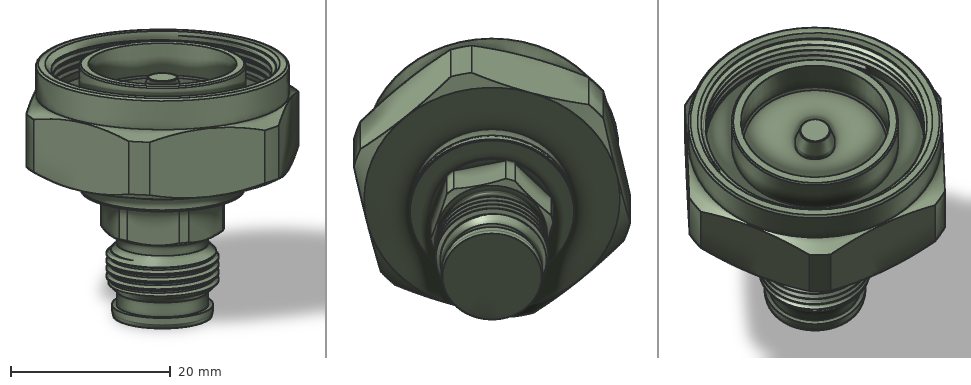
import cadquery as cq
import math


total_height = 32.7
nut_bottom = 19.7
nut_hex_top = 28.7

neck_radius = 5.75
collar_radius = 6.33
collar_height = 1.4
collar_taper_height = 0.58
collar_taper = 0.13
thread_radius = 7.05
thread_pitch = 1.0
thread_depth = 0.57
thread_bottom = 3.25
thread_top = 9.35
thread_root_flat = 0.25
thread_start = 2.9
neck_fillet = 0.45

small_hex_flats = 14.0
small_hex_corner_radius = 7.75
small_hex_bottom = 10.98
small_hex_top = 16.06
small_hex_chamfer_radius = 6.85

shoulder_bottom = 16.4
shoulder_edge = 0.24
shoulder_edge_inset = 0.07
shoulder_flare_top = 17.93
shoulder_flare_bottom_radius = 10.32
shoulder_flare_top_radius = 10.13
shoulder_radius = 10.0

nut_flats = 32.0
nut_corner_radius = 17.75
nut_rim_radius = 15.84
nut_rim_chamfer = 0.27
hex_chamfer_angle = math.radians(30)

recess_mouth_radius = 14.7
recess_radius = 13.7
recess_depth = 4.4
recess_lead_in = 0.9
nut_thread_pitch = 1.0
nut_thread_depth = 0.55
nut_thread_start = 0.7
nut_thread_root_flat = 0.25

ferrule_radius = 10.42
ferrule_chamfer = 0.2
socket_radius = 9.27
socket_floor_radius = 9.0
socket_straight_depth = 4.15
socket_depth = 4.4
pin_radius = 2.5
pin_straight_height = 0.65
pin_top_radius = 1.9
pin_height = 2.7
pin_edge = 0.1

groove_clearance = 0.1
groove_gap = 0.04
overlap = 0.2


def revolve(profile):
    """Close a (radius, z) profile and turn it about the Z axis."""
    return profile.close().revolve(360, (0, 0, 0), (0, 1, 0))


def cylinder(radius, bottom, top):
    """Solid round bar on the Z axis between two heights."""
    return cq.Workplane("XY").workplane(offset=bottom).circle(radius).extrude(top - bottom)


def hexagon(flats, bottom, top, turn):
    """Hexagonal bar with corners on X, turned about Z by an angle in degrees."""
    corner_diameter = flats / math.cos(math.pi / 6)
    bar = cq.Workplane("XY").workplane(offset=bottom).polygon(6, corner_diameter).extrude(top - bottom)
    return bar.rotate((0, 0, 0), (0, 0, 1), turn)


def helical_groove(surface_radius, root_radius, pitch, start, length, root_flat):
    """Thread cutter: a trapezoid swept up a right-hand helix from +X, nearly a pitch wide at its mouth."""
    outward = math.copysign(1, surface_radius - root_radius)
    mouth_radius = surface_radius + outward * groove_clearance
    mouth_half = (pitch - groove_gap) / 2
    root_half = root_flat / 2
    path = cq.Wire.makeHelix(pitch, length, root_radius, center=cq.Vector(0, 0, start))
    section = cq.Workplane("XZ").polyline([
        (root_radius, start - root_half),
        (root_radius, start + root_half),
        (mouth_radius, start + mouth_half),
        (mouth_radius, start - mouth_half),
    ]).close()
    return section.sweep(cq.Workplane(path), isFrenet=True)


def threaded_end():
    """Nose collar, neck and the externally threaded barrel with 45 degree ends."""
    thread_rise = thread_radius - neck_radius
    profile = (
        cq.Workplane("XZ")
        .moveTo(0, 0)
        .lineTo(collar_radius - collar_taper, 0)
        .lineTo(collar_radius, collar_taper_height)
        .lineTo(collar_radius, collar_height)
        .lineTo(neck_radius, collar_height)
        .lineTo(neck_radius, thread_bottom)
        .lineTo(thread_radius, thread_bottom + thread_rise)
        .lineTo(thread_radius, thread_top - thread_rise)
        .lineTo(neck_radius, thread_top)
        .lineTo(neck_radius, small_hex_bottom - neck_fillet)
        .radiusArc((neck_radius + neck_fillet, small_hex_bottom), neck_fillet)
        .lineTo(neck_radius + neck_fillet, small_hex_bottom + overlap)
        .lineTo(0, small_hex_bottom + overlap)
    )
    groove_length = thread_top + thread_pitch - thread_start
    groove = helical_groove(
        thread_radius, thread_radius - thread_depth, thread_pitch, thread_start,
        groove_length, thread_root_flat,
    )
    return revolve(profile).cut(groove)


def small_hex():
    """Wrench hexagon with flats facing Y, chamfered below, under a round collar."""
    chamfer_rise = (small_hex_corner_radius - small_hex_chamfer_radius) * math.tan(hex_chamfer_angle)
    envelope = revolve(
        cq.Workplane("XZ")
        .moveTo(0, small_hex_bottom)
        .lineTo(small_hex_chamfer_radius, small_hex_bottom)
        .lineTo(small_hex_corner_radius, small_hex_bottom + chamfer_rise)
        .lineTo(small_hex_corner_radius, small_hex_top)
        .lineTo(0, small_hex_top)
    )
    bar = hexagon(small_hex_flats, small_hex_bottom, small_hex_top, turn=0)
    collar = cylinder(small_hex_corner_radius, small_hex_top, shoulder_bottom + overlap)
    return bar.intersect(envelope).union(collar)


def shoulder():
    """Neck of the nut, flaring out to a ledge with a bevelled lower edge."""
    return revolve(
        cq.Workplane("XZ")
        .moveTo(0, shoulder_bottom)
        .lineTo(shoulder_flare_bottom_radius - shoulder_edge_inset, shoulder_bottom)
        .lineTo(shoulder_flare_bottom_radius, shoulder_bottom + shoulder_edge)
        .lineTo(shoulder_flare_top_radius, shoulder_flare_top)
        .lineTo(shoulder_radius, shoulder_flare_top)
        .lineTo(shoulder_radius, nut_bottom + overlap)
        .lineTo(0, nut_bottom + overlap)
    )


def nut_body():
    """Hexagon with flats facing X, corners chamfered at both ends, and a round rim above."""
    inscribed_radius = nut_flats / 2
    chamfer_rise = (nut_corner_radius - inscribed_radius) * math.tan(hex_chamfer_angle)
    top_chamfer_rise = (nut_corner_radius - nut_rim_radius) * math.tan(hex_chamfer_angle)
    envelope = revolve(
        cq.Workplane("XZ")
        .moveTo(0, nut_bottom)
        .lineTo(inscribed_radius, nut_bottom)
        .lineTo(nut_corner_radius, nut_bottom + chamfer_rise)
        .lineTo(nut_corner_radius, nut_hex_top - top_chamfer_rise)
        .lineTo(nut_rim_radius, nut_hex_top)
        .lineTo(0, nut_hex_top)
    )
    bar = hexagon(nut_flats, nut_bottom, nut_hex_top, turn=30)
    rim = cylinder(nut_rim_radius, nut_hex_top - overlap, total_height)
    rim = rim.faces(">Z").edges().chamfer(nut_rim_chamfer)
    return bar.intersect(envelope).union(rim)


def nut_recess():
    """Round recess with a conical lead-in and an internal thread down to its floor."""
    floor = total_height - recess_depth
    recess = revolve(
        cq.Workplane("XZ")
        .moveTo(0, floor)
        .lineTo(recess_radius, floor)
        .lineTo(recess_radius, total_height - recess_lead_in)
        .lineTo(recess_mouth_radius, total_height)
        .lineTo(0, total_height)
    )
    recess = recess.rotate((0, 0, 0), (0, 0, 1), 180)
    groove_start = floor + nut_thread_start
    groove = helical_groove(
        recess_radius, recess_radius + nut_thread_depth, nut_thread_pitch, groove_start,
        total_height - groove_start, nut_thread_root_flat,
    )
    return recess, groove


def ferrule():
    """Round post standing in the recess, before its socket is opened."""
    post = cylinder(ferrule_radius, total_height - recess_depth - overlap, total_height)
    return post.faces(">Z").edges().chamfer(ferrule_chamfer)


def socket():
    """Cavity that opens the ferrule into a tube, tapering in just above its floor."""
    return revolve(
        cq.Workplane("XZ")
        .moveTo(0, total_height - socket_depth)
        .lineTo(socket_floor_radius, total_height - socket_depth)
        .lineTo(socket_radius, total_height - socket_straight_depth)
        .lineTo(socket_radius, total_height)
        .lineTo(0, total_height)
    )


def centre_pin():
    """Tapered contact pin on the socket floor."""
    floor = total_height - socket_depth
    return revolve(
        cq.Workplane("XZ")
        .moveTo(0, floor - overlap)
        .lineTo(pin_radius, floor - overlap)
        .lineTo(pin_radius, floor + pin_straight_height)
        .lineTo(pin_top_radius, floor + pin_height - pin_edge)
        .lineTo(pin_top_radius - pin_edge, floor + pin_height)
        .lineTo(0, floor + pin_height)
    )


recess, recess_thread = nut_recess()
nut = nut_body().cut(recess).cut(recess_thread)
large_end = nut.union(ferrule()).cut(socket()).union(centre_pin())
result = threaded_end().union(small_hex()).union(shoulder()).union(large_end)